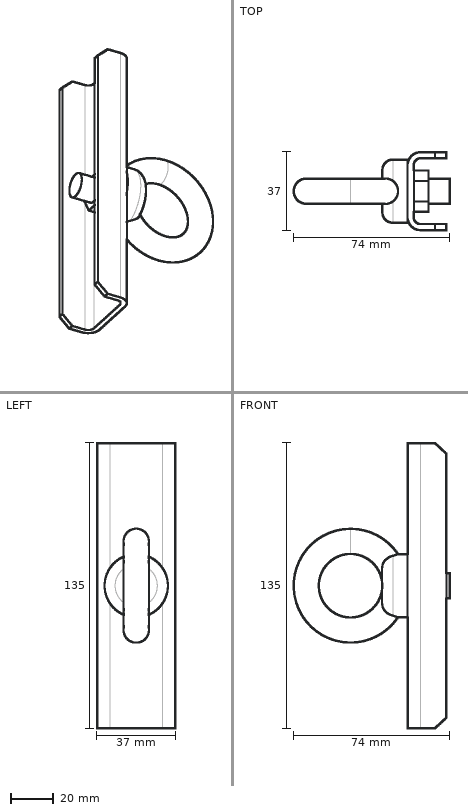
import cadquery as cq
import math

channel_length = 135.0
channel_width = 37.0
channel_depth = 18.4
sheet = 3.0
bend_radius = 6.1
corner_depth = 5.4
corner_height = 5.0

wire_diameter = 12.0
ring_bore = 30.0
collar_diameter = 30.0
collar_length = 12.0
collar_fillet = 5.0
stud_diameter = 12.0
stud_end = 20.0

nut_flats = 17.0
nut_thickness = 7.0

ring_center_x = -collar_length - ring_bore / 2
ring_radius = (ring_bore + wire_diameter) / 2


def x_cylinder(diameter, start, end):
    """Cylinder on the X axis between two X positions."""
    return cq.Workplane("YZ", origin=(start, 0, 0)).circle(diameter / 2).extrude(end - start)


def make_channel():
    """U-shaped channel with rounded bends, cut flange corners and a stud hole."""
    inside_width = channel_width - 2 * sheet
    outside = (
        cq.Workplane("XY")
        .box(channel_depth, channel_width, channel_length, centered=(False, True, True))
        .edges("|Z and <X")
        .fillet(bend_radius)
    )
    inside = (
        cq.Workplane("XY", origin=(sheet, 0, 0))
        .box(channel_depth, inside_width, channel_length, centered=(False, True, True))
        .edges("|Z and <X")
        .fillet(bend_radius - sheet)
    )
    half_length = channel_length / 2
    shoulder_x = channel_depth - corner_depth
    shoulder_z = half_length - corner_height
    side_outline = (
        cq.Workplane("XZ")
        .moveTo(0, -half_length)
        .lineTo(shoulder_x, -half_length)
        .lineTo(channel_depth, -shoulder_z)
        .lineTo(channel_depth, shoulder_z)
        .lineTo(shoulder_x, half_length)
        .lineTo(0, half_length)
        .close()
        .extrude(channel_width / 2, both=True)
    )
    stud_hole = x_cylinder(stud_diameter, 0, sheet)
    return outside.cut(inside).intersect(side_outline).cut(stud_hole)


def make_eye_bolt():
    """Lifting ring joined to a rounded collar and a plain stud."""
    ring = cq.Workplane("XY").add(
        cq.Solid.makeTorus(
            ring_radius,
            wire_diameter / 2,
            cq.Vector(ring_center_x, 0, 0),
            cq.Vector(0, 1, 0),
        )
    )
    collar = x_cylinder(collar_diameter, -collar_length, 0).faces("<X").edges().fillet(collar_fillet)
    stud = x_cylinder(stud_diameter, 0, stud_end)
    return collar.union(stud).union(ring)


def make_nut():
    """Plain hexagonal nut with two corners in the Y direction."""
    corner_diameter = nut_flats / math.cos(math.pi / 6)
    blank = (
        cq.Workplane("YZ", origin=(sheet, 0, 0))
        .polygon(6, corner_diameter)
        .extrude(nut_thickness)
    )
    return blank.cut(x_cylinder(stud_diameter, sheet, sheet + nut_thickness))


channel = make_channel()
eye_bolt = make_eye_bolt()
nut = make_nut()

bodies = [channel, eye_bolt, nut]
result = cq.Compound.makeCompound([body.solids().val() for body in bodies])